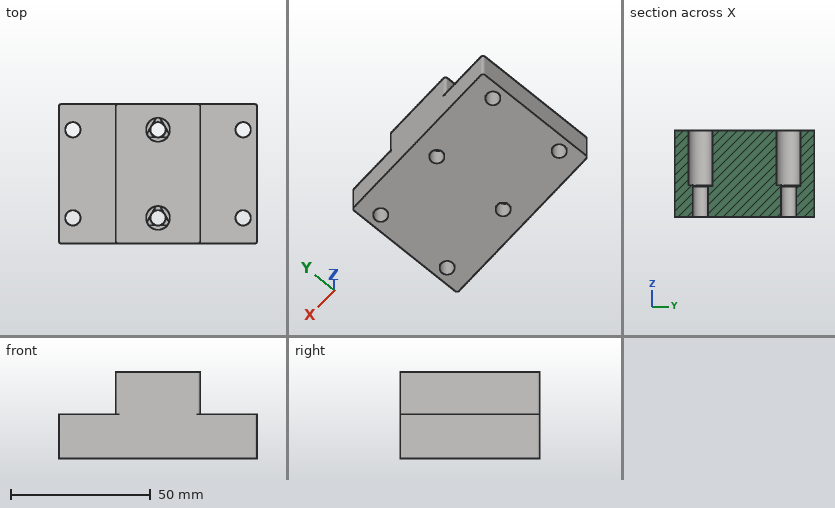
import cadquery as cq
import math

length = 71.0
width = 50.0
height = 31.0
base_height = 16.0
block_length = 30.25
corner_radius = 1.0

hole_diameter = 5.4
column_spacing = 30.45
row_spacing = 31.5

counterbore_diameter = 8.5
counterbore_floor = 11.5
step_depth = 0.3


def rounded_block(size_x, bottom, top):
    """Full-width block centred on the Z axis with rounded vertical edges."""
    return (
        cq.Workplane("XY")
        .workplane(offset=bottom)
        .rect(size_x, width)
        .extrude(top - bottom)
        .edges("|Z")
        .fillet(corner_radius)
    )


def cylinder(diameter, bottom, top):
    """Vertical cylinder on the Z axis."""
    return cq.Workplane("XY").workplane(offset=bottom).circle(diameter / 2).extrude(top - bottom)


def tangent_prism(sides, bottom, top):
    """Regular prism whose sides touch the hole, with one flat facing -Y."""
    corner_distance = hole_diameter / 2 / math.cos(math.pi / sides)
    first_angle = -math.pi / 2 + math.pi / sides
    angles = [first_angle + 2 * math.pi * i / sides for i in range(sides)]
    corners = [(corner_distance * math.cos(a), corner_distance * math.sin(a)) for a in angles]
    return cq.Workplane("XY").workplane(offset=bottom).polyline(corners).close().extrude(top - bottom)


def counterbore_cutter():
    """Counterbore followed by its triangular and hexagonal steps."""
    triangle_bottom = counterbore_floor - step_depth
    hexagon_bottom = triangle_bottom - step_depth
    bore = cylinder(counterbore_diameter, counterbore_floor, height)
    triangle = tangent_prism(3, triangle_bottom, counterbore_floor).intersect(
        cylinder(counterbore_diameter, triangle_bottom, counterbore_floor)
    )
    hexagon = tangent_prism(6, hexagon_bottom, triangle_bottom)
    return bore.union(triangle).union(hexagon)


base = rounded_block(length, 0, base_height)
raised_block = rounded_block(block_length, 0, height)
result = base.union(raised_block)

through_hole = cylinder(hole_diameter, 0, height)
counterbore = counterbore_cutter()
for y in (-row_spacing / 2, row_spacing / 2):
    for x in (-column_spacing, 0, column_spacing):
        result = result.cut(through_hole.translate((x, y, 0)))
    result = result.cut(counterbore.translate((0, y, 0)))